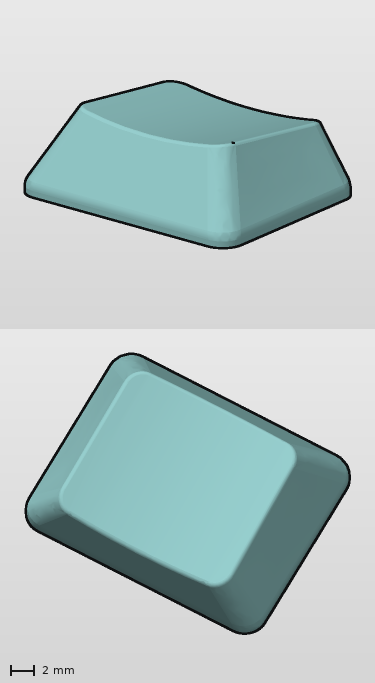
import cadquery as cq
import math

LENGTH = 22.92
WIDTH = 18.15
BASE_CORNER_RADIUS = 2.0

SKIRT_HEIGHT = 0.6
SHOULDER_HEIGHT = 1.3
SHOULDER_STEPS = 4

SIDE_TAPER = 0.5
FRONT_TAPER = 0.545
BACK_TAPER = 0.09

TOP_TILT = 7.0
TOP_HEIGHT = 7.68
TOP_LENGTH = 15.68
TOP_FRONT = -5.0
TOP_BACK = 8.53
TOP_CORNER_RADIUS = 1.65

DISH_RADIUS = 42.4
DISH_FLOOR = 6.25
DISH_LENGTH = 45.85
RIM_RADIUS = 0.37


def rounded_outline(length, width, corner_radius):
    """Closed rounded rectangle in the XY plane, centered on the origin."""
    outline = cq.Sketch().rect(length, width).vertices().fillet(corner_radius)
    return outline.reset().faces().val().outerWire()


def shoulder_outline(height):
    """Outline of the shoulder, whose walls lean in gradually from upright to full taper."""
    rise = (height - SKIRT_HEIGHT) ** 2 / (2 * (SHOULDER_HEIGHT - SKIRT_HEIGHT))
    length = LENGTH - 2 * SIDE_TAPER * rise
    y_front = -WIDTH / 2 + FRONT_TAPER * rise
    y_back = WIDTH / 2 - BACK_TAPER * rise
    center = cq.Vector(0, (y_front + y_back) / 2, height)
    outline = rounded_outline(length, y_back - y_front, BASE_CORNER_RADIUS)
    return outline.moved(cq.Location(center))


def tilted_top_outline():
    """Outline of the walls in the tilted plane above the dish."""
    tilt = math.radians(TOP_TILT)
    y_center = (TOP_FRONT + TOP_BACK) / 2
    width_on_slope = (TOP_BACK - TOP_FRONT) / math.cos(tilt)
    center = cq.Vector(0, y_center, TOP_HEIGHT - y_center * math.tan(tilt))
    outline = rounded_outline(TOP_LENGTH, width_on_slope, TOP_CORNER_RADIUS)
    return outline.moved(cq.Location(center, cq.Vector(1, 0, 0), -TOP_TILT))


def make_dish_cutter():
    tilt = math.radians(TOP_TILT)
    along = cq.Vector(0, math.cos(tilt), -math.sin(tilt))
    axis_point = cq.Vector(0, 0, DISH_FLOOR + DISH_RADIUS / math.cos(tilt))
    start = axis_point - along * (DISH_LENGTH / 2)
    return cq.Workplane(cq.Solid.makeCylinder(DISH_RADIUS, DISH_LENGTH, start, along))


base_outline = cq.Sketch().rect(LENGTH, WIDTH).vertices().fillet(BASE_CORNER_RADIUS)
skirt = cq.Workplane("XY").placeSketch(base_outline).extrude(SKIRT_HEIGHT)

shoulder_step = (SHOULDER_HEIGHT - SKIRT_HEIGHT) / SHOULDER_STEPS
shoulder_sections = [
    shoulder_outline(SKIRT_HEIGHT + step * shoulder_step) for step in range(SHOULDER_STEPS + 1)
]
shoulder = cq.Workplane(cq.Solid.makeLoft(shoulder_sections))

wall_sections = [shoulder_outline(SHOULDER_HEIGHT), tilted_top_outline()]
walls = cq.Workplane(cq.Solid.makeLoft(wall_sections, True))
walls = walls.cut(make_dish_cutter())
walls = walls.faces(">Z").edges().fillet(RIM_RADIUS)

result = skirt.union(shoulder).union(walls)